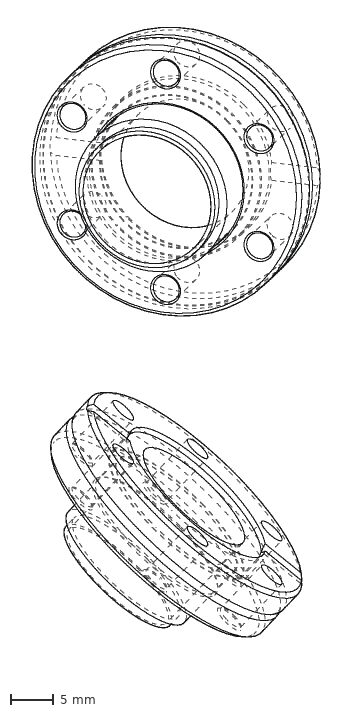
import cadquery as cq
import math


total_length = 14.25
edge_break = 0.25

ring_diameter = 33.8
ring_thickness = 7.6
ring_bore_diameter = 19.2
recess_diameter = 21.4
recess_depth = ring_thickness / 2
rim_chamfer = 0.5

rim_groove_width = 1.0
rim_groove_depth = 0.25

bolt_count = 6
bolt_hole_diameter = 3.25
bolt_circle_diameter = 27.0

leak_groove_width = 2.23
leak_groove_depth = 0.65

collar_diameter = 21.1
neck_diameter = 19.0
spigot_diameter = 17.0
spigot_length = 1.5
tube_bore_diameter = 16.0


def revolve_about_y(profile):
    """Revolve a closed XY profile a full turn about the Y axis."""
    return profile.revolve(360, (0, 0, 0), (0, 1, 0))


def arc_radius(chord, depth):
    """Radius of the circular arc with the given chord and depth."""
    return ((chord / 2) ** 2 + depth ** 2) / (2 * depth)


def ring_blank():
    """Ring with collar recess, chamfered rim, rounded rim groove and chamfered neck-side bore mouth."""
    outer_radius = ring_diameter / 2
    bore_radius = ring_bore_diameter / 2
    recess_radius = recess_diameter / 2
    neck_face = -ring_thickness
    groove_center = neck_face / 2
    groove_start = groove_center - rim_groove_width / 2
    groove_end = groove_center + rim_groove_width / 2
    profile = (
        cq.Workplane("XY")
        .moveTo(recess_radius, 0)
        .lineTo(recess_radius, -recess_depth)
        .lineTo(bore_radius, -recess_depth)
        .lineTo(bore_radius, neck_face + edge_break)
        .lineTo(bore_radius + edge_break, neck_face)
        .lineTo(outer_radius - rim_chamfer, neck_face)
        .lineTo(outer_radius, neck_face + rim_chamfer)
        .lineTo(outer_radius, groove_start)
        .threePointArc((outer_radius - rim_groove_depth, groove_center), (outer_radius, groove_end))
        .lineTo(outer_radius, -rim_chamfer)
        .lineTo(outer_radius - rim_chamfer, 0)
        .close()
    )
    return revolve_about_y(profile)


def bolt_hole(index):
    """Cutter for one through hole with a chamfered mouth on the neck side."""
    hole_radius = bolt_hole_diameter / 2
    mouth_radius = hole_radius + edge_break
    profile = (
        cq.Workplane("XY")
        .moveTo(0, 0)
        .lineTo(hole_radius, 0)
        .lineTo(hole_radius, -ring_thickness + edge_break)
        .lineTo(mouth_radius, -ring_thickness)
        .lineTo(0, -ring_thickness)
        .close()
    )
    angle = math.radians(90 + index * 360 / bolt_count)
    pitch_radius = bolt_circle_diameter / 2
    position = (pitch_radius * math.cos(angle), 0, pitch_radius * math.sin(angle))
    return revolve_about_y(profile).translate(position)


def leak_groove():
    """Cutter for the channel that runs along X across the sealing face."""
    radius = arc_radius(leak_groove_width, leak_groove_depth)
    axis_height = radius - leak_groove_depth
    return (
        cq.Workplane("YZ")
        .center(axis_height, 0)
        .circle(radius)
        .extrude(ring_diameter / 2, both=True)
    )


def make_ring():
    """Clamping ring with bolt holes and leak check groove."""
    ring = ring_blank()
    for index in range(bolt_count):
        ring = ring.cut(bolt_hole(index))
    return ring.cut(leak_groove())


def make_weld_neck():
    """Stepped tube with a collar at its inner end, level with the floor of the leak check groove."""
    bore_radius = tube_bore_diameter / 2
    collar_radius = collar_diameter / 2
    neck_radius = neck_diameter / 2
    spigot_radius = spigot_diameter / 2
    inner_end = -leak_groove_depth
    shoulder = -total_length + spigot_length
    profile = (
        cq.Workplane("XY")
        .moveTo(bore_radius, inner_end)
        .lineTo(collar_radius, inner_end)
        .lineTo(collar_radius, -recess_depth)
        .lineTo(neck_radius, -recess_depth)
        .lineTo(neck_radius, shoulder)
        .lineTo(spigot_radius, shoulder)
        .lineTo(spigot_radius, -total_length)
        .lineTo(bore_radius, -total_length)
        .close()
    )
    return revolve_about_y(profile)


ring = make_ring()
weld_neck = make_weld_neck()

result = cq.Compound.makeCompound([ring.val(), weld_neck.val()])